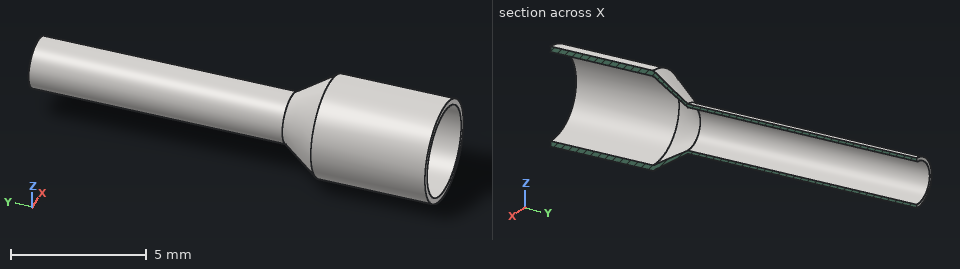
import cadquery as cq

total_length = 16.0
tube_length = 10.0
taper_length = 1.5
collar_length = total_length - tube_length - taper_length

collar_outer_diameter = 4.0
collar_inner_diameter = 3.52
tube_outer_diameter = 2.0
tube_inner_diameter = 1.7


def stepped_cone(collar_diameter, tube_diameter):
    """Solid of revolution about Y: collar cylinder, taper, then tube cylinder."""
    collar_radius = collar_diameter / 2
    tube_radius = tube_diameter / 2
    taper_end = collar_length + taper_length
    return (
        cq.Workplane("XY")
        .moveTo(0, 0)
        .lineTo(collar_radius, 0)
        .lineTo(collar_radius, collar_length)
        .lineTo(tube_radius, taper_end)
        .lineTo(tube_radius, total_length)
        .lineTo(0, total_length)
        .close()
        .revolve(360, (0, 0, 0), (0, 1, 0))
    )


body = stepped_cone(collar_outer_diameter, tube_outer_diameter)
passage = stepped_cone(collar_inner_diameter, tube_inner_diameter)
result = body.cut(passage)